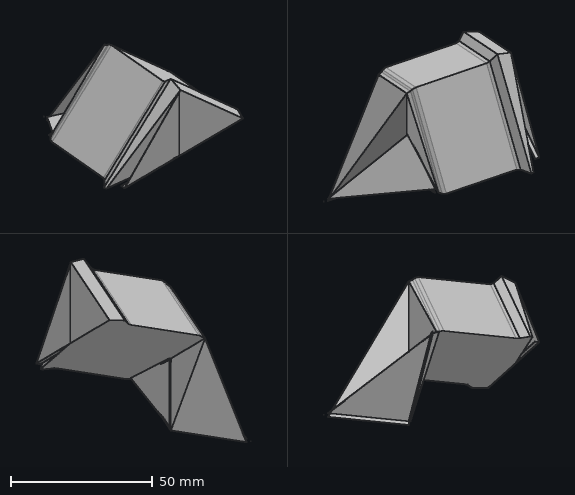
import cadquery as cq

neck_x = 31.75
neck_radius = 26.7
barrel_radius = 28.6
rim_radius = 32.1
end_x = 71.5
end_radius = 30.1
roof_stations = [
    (neck_x, neck_radius),
    (33.1, 27.3),
    (33.9, 28.0),
    (35.25, barrel_radius),
    (62.1, barrel_radius),
    (63.4, 29.1),
    (66.35, rim_radius),
    (end_x, end_radius),
]

neck_slant_x = 32.9
neck_slant_y = -27.2
rim_slant_x = 67.4
rim_slant_y = -30.8
cut_reach = 2.0

sheet = 0.1
flap_radius = 26.9
flap_depth = 1.65

beak_x = 1.6
beak_radius = 26.75
wedge_radius = 25.3
wedge_x = 32.4
wedge_drop = 0.6
heel_x = 34.1

tip_size = 0.1
tip_z = -26.1


def polyhedron(points, faces):
    """Solid with flat faces, each given as a tuple of point indices."""
    skins = [
        cq.Face.makeFromWires(cq.Wire.makePolygon([cq.Vector(*points[i]) for i in face], close=True))
        for face in faces
    ]
    return cq.Solid.makeSolid(cq.Shell.makeShell(skins))


def tetrahedron(points):
    return polyhedron(points, [(0, 1, 2), (0, 1, 3), (0, 2, 3), (1, 2, 3)])


def roof_section(x, radius):
    """Upper half of a square standing on its corner."""
    corners = [(x, -radius, 0), (x, 0, radius), (x, radius, 0)]
    return cq.Wire.makePolygon([cq.Vector(*corner) for corner in corners], close=True)


def slant_cutter(start_x, slant_x, slant_y):
    """Vertical wedge between the section plane at start_x and a line slanting toward -Y."""
    far_y = cut_reach * slant_y
    far_x = start_x + cut_reach * (slant_x - start_x)
    outline = [(start_x, 0), (far_x, far_y), (start_x, far_y)]
    return cq.Workplane("XY").polyline(outline).close().extrude(rim_radius)


def make_roof():
    roof = cq.Workplane(cq.Solid.makeLoft([roof_section(x, r) for x, r in roof_stations], ruled=True))
    roof = roof.cut(slant_cutter(neck_x, neck_slant_x, neck_slant_y))
    roof = roof.cut(slant_cutter(end_x, rim_slant_x, rim_slant_y))
    flap_outline = [(sheet, 0), (-flap_radius, 0), (0, end_radius), (sheet, end_radius - sheet)]
    flap = (
        cq.Workplane("YZ", origin=(end_x - sheet, 0, 0))
        .polyline(flap_outline).close().extrude(sheet)
    )
    floor = cq.Workplane("XY").box(flap_depth, flap_radius, sheet, centered=False)
    floor = floor.translate((end_x - flap_depth, -flap_radius, 0))
    return roof.union(flap).union(floor)


def make_beak():
    """Half pyramid on the +Y side, with a thin lip continuing along the lower -Y edge."""
    pyramid = tetrahedron([
        (neck_x, 0, neck_radius),
        (beak_x, 0, -beak_radius),
        (neck_x, 0, -beak_radius),
        (neck_x, neck_radius, 0),
    ])
    lip_outline = [(0, -beak_radius), (-beak_radius, 0), (-wedge_radius, 0), (0, -wedge_radius)]
    lip = (
        cq.Workplane("YZ", origin=(neck_x - sheet, 0, 0))
        .polyline(lip_outline).close().extrude(sheet)
    )
    return cq.Workplane(pyramid).union(lip)


def make_wedge():
    """Lower -Y wedge of the beak, with a heel that flares out behind it."""
    bottom = (wedge_x, 0, -wedge_radius)
    side = (wedge_x, -wedge_radius, 0)
    inner = (wedge_x, 0, -wedge_drop)
    front = tetrahedron([(beak_x, 0, -wedge_radius), inner, side, bottom])
    heel = tetrahedron([bottom, side, (wedge_x, 0, 0), (heel_x, -beak_radius, 0)])
    return cq.Workplane(front).union(cq.Workplane(heel))


def make_tip():
    return cq.Workplane("XY").box(tip_size, tip_size, tip_size).translate((tip_size / 2, 0, tip_z))


roof = make_roof()
beak = make_beak()
wedge = make_wedge()
tip = make_tip()

result = cq.Compound.makeCompound([roof.val(), beak.val(), wedge.val(), tip.val()])